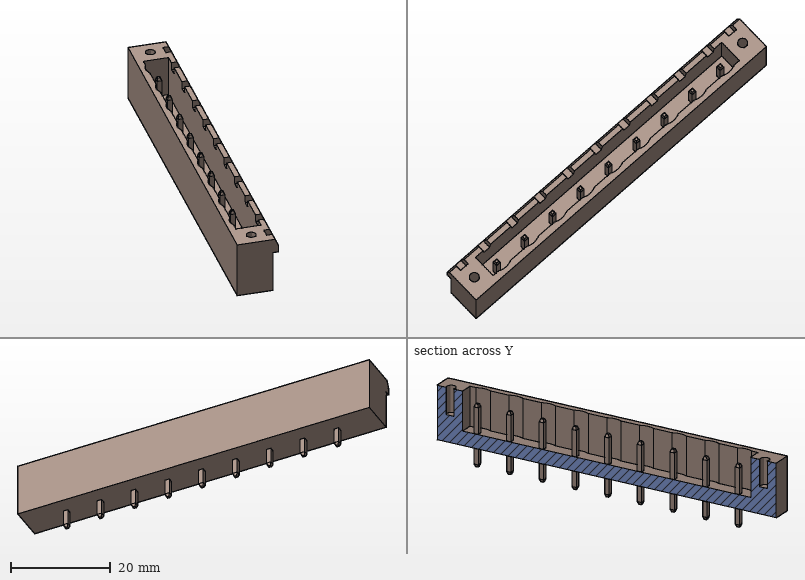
import cadquery as cq


length = 79.15
depth = 7.5
height = 11.95

overall_depth = 8.6
lip_height = 3.1
lip_bevel_depth = 0.7
lip_bevel_height = 1.5

pin_count = 9
pin_span = 60.95
pin_y = 3.8
pin_size = 1.0
pin_length_below = 4.0
pin_top_z = 9.65
pin_tip_bevel_width = 0.2
pin_tip_bevel_height = 0.6
pin_pitch = pin_span / (pin_count - 1)
pin_xs = [i * pin_pitch - pin_span / 2 for i in range(pin_count)]

cavity_length = 67.1
cavity_front_y = 1.5
cavity_back_y = 6.7
cavity_depth = 8.7
relief_width = 3.3
relief_front_y = 1.1

hole_diameter = 2.0
hole_depth = 5.9
hole_x = 36.6
hole_xs = [-hole_x, hole_x]

notch_floor_width = 1.5
notch_top_width = 2.05
notch_depth = 1.5


def make_housing():
    """Block whose back wall carries the bevelled lip."""
    profile = [
        (0, 0),
        (depth, 0),
        (depth, height - lip_height),
        (overall_depth, height - lip_height),
        (overall_depth, height - lip_bevel_height),
        (overall_depth - lip_bevel_depth, height),
        (0, height),
    ]
    return cq.Workplane("YZ").polyline(profile).close().extrude(length / 2, both=True)


def make_cavity():
    """Plain rectangular cavity, open at the top."""
    floor = cq.Workplane("XY", origin=(0, 0, height - cavity_depth))
    width = cavity_back_y - cavity_front_y
    centre_y = (cavity_front_y + cavity_back_y) / 2
    return floor.center(0, centre_y).rect(cavity_length, width).extrude(cavity_depth)


def make_relief(x):
    """Shallow round relief in the cavity's front wall, as deep as the cavity."""
    floor = cq.Workplane("XY", origin=(x, 0, height - cavity_depth))
    outline = floor.moveTo(-relief_width / 2, cavity_front_y)
    outline = outline.threePointArc((0, relief_front_y), (relief_width / 2, cavity_front_y))
    return outline.close().extrude(cavity_depth)


def make_notch(x):
    """Flared notch running from the cavity's back wall out through the lip."""
    profile = [
        (x - notch_floor_width / 2, height - notch_depth),
        (x + notch_floor_width / 2, height - notch_depth),
        (x + notch_top_width / 2, height),
        (x - notch_top_width / 2, height),
    ]
    back = cq.Workplane("XZ", origin=(0, overall_depth, 0))
    return back.polyline(profile).close().extrude(overall_depth - cavity_back_y)


def make_pin(x):
    """Square pin with bevelled ends, passing through the cavity floor."""
    pin = cq.Workplane("XY", origin=(x, pin_y, -pin_length_below)).rect(pin_size, pin_size)
    pin = pin.extrude(pin_length_below + pin_top_z)
    return pin.faces("<Z or >Z").chamfer(pin_tip_bevel_height, pin_tip_bevel_width)


result = make_housing().cut(make_cavity())

for x in pin_xs:
    result = result.cut(make_relief(x))

for x in pin_xs + hole_xs:
    result = result.cut(make_notch(x))

screw_holes = cq.Workplane("XY", origin=(0, 0, height)).pushPoints([(x, pin_y) for x in hole_xs])
result = result.cut(screw_holes.circle(hole_diameter / 2).extrude(-hole_depth))

for x in pin_xs:
    result = result.union(make_pin(x))